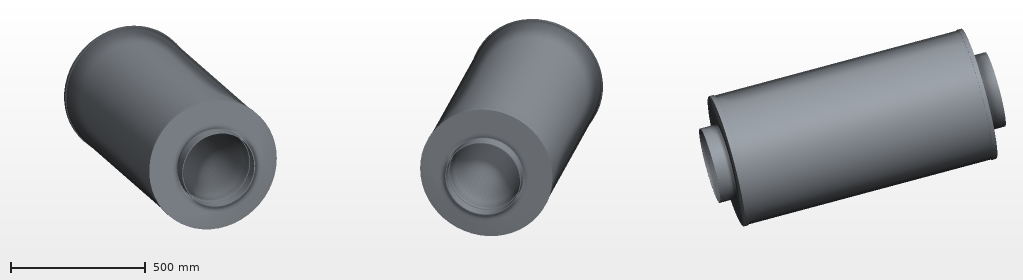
import cadquery as cq

total_length = 1102.0
spigot_length = 51.0
neck_length = 13.0
end_band_length = 17.0

body_diameter = 495.0
end_band_diameter = 500.0
spigot_diameter = 285.0
neck_diameter = 280.0
bore_diameter = 280.0
ridge_bore_diameter = 275.0

ridge_overlap = 2.0

casing_length = total_length - 2 * (spigot_length + neck_length)
ridge_length = neck_length + 2 * ridge_overlap


def centred_cylinder(diameter, length):
    """Cylinder along X, symmetric about the YZ plane."""
    return cq.Workplane("YZ").circle(diameter / 2).extrude(length / 2, both=True)


def ring_from(start, outer_diameter, inner_diameter, length):
    """Ring along X that begins at the given X position."""
    plane = cq.Workplane("YZ", origin=(start, 0, 0))
    return plane.circle(outer_diameter / 2).circle(inner_diameter / 2).extrude(length)


def at_both_ends(distance, length):
    """Start positions of two mirrored sections whose outer faces are this far from the centre."""
    return (-distance, distance - length)


result = centred_cylinder(body_diameter, casing_length)

for start in at_both_ends(casing_length / 2, end_band_length):
    result = result.union(ring_from(start, end_band_diameter, bore_diameter, end_band_length))

result = result.cut(centred_cylinder(bore_diameter, total_length))

for start in at_both_ends(casing_length / 2 + neck_length + ridge_overlap, ridge_length):
    result = result.union(ring_from(start, neck_diameter, ridge_bore_diameter, ridge_length))

for start in at_both_ends(total_length / 2, spigot_length):
    result = result.union(ring_from(start, spigot_diameter, bore_diameter, spigot_length))